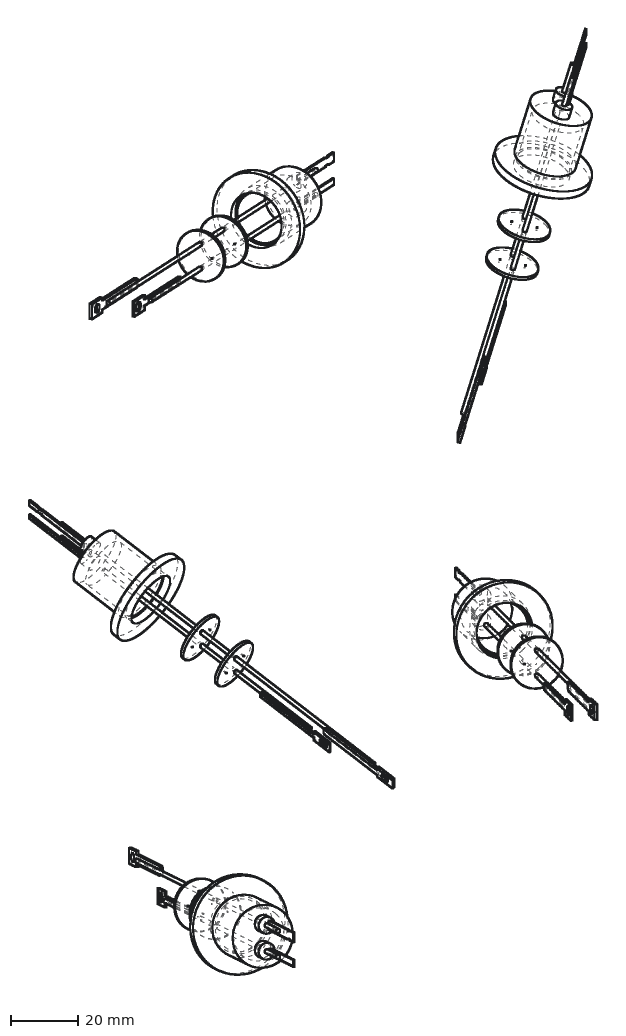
import cadquery as cq


flange_diameter = 29.9
rim_width = 2.6
cone_width = 1.7
body_diameter = 19.0
body_length = 22.4
bore_diameter = 16.0
bore_depth = 18.9
recess_diameter = 17.3
recess_depth = 2.6

conductor_offset = 3.9
rod_diameter = 1.3
tube_diameter = 5.1
tube_length = 3.5
tube_end = body_length + tube_length
overall_length = 145.2
rear_end = 47.6
rod_rear_inset = 11.8
rod_front_overlap = 19.0

strip_inner_x = -0.6
upper_strip_height = 2.9
lower_strip_height = 2.0
upper_front_thickness = 0.9
lower_front_thickness = 0.6
strip_corner_chamfer = 0.6
rear_strip_thickness = 0.5
lower_rear_length = 20.8
notch_inset = 3.3
notch_width = 1.6
notch_depth = 0.3

upper_front_end = rear_end - overall_length
lower_front_end = -72.1
front_strip_length = 27.6
lug_length = 6.2
lug_height = 4.8
upper_hole_diameter = 2.6
upper_hole_inset = 3.2
lower_hole_diameter = 2.9
lower_hole_inset = 2.5

disc_diameter = 16.0
disc_thickness = 1.0
disc_centres = (-19.6, -33.1)
pinhole_diameter = 0.3


def cylinder_along_y(diameter, y_start, y_end, x=0.0, z=0.0):
    plane = cq.Workplane("XZ", origin=(x, y_start, z))
    return plane.circle(diameter / 2).extrude(y_start - y_end)


def flat_bar(y_start, y_end, height, thickness, z):
    """Bar along Y whose +X face lies at strip_inner_x."""
    centre = (strip_inner_x - thickness / 2, (y_start + y_end) / 2, z)
    return cq.Workplane("XY").box(thickness, y_end - y_start, height).translate(centre)


def make_housing():
    """Flange with a conical back and a closed cylindrical body, bored from the front."""
    flange_radius = flange_diameter / 2
    body_radius = body_diameter / 2
    half_profile = [
        (0, 0),
        (flange_radius, 0),
        (flange_radius, rim_width),
        (body_radius, rim_width + cone_width),
        (body_radius, body_length),
        (0, body_length),
    ]
    housing = cq.Workplane("XY").polyline(half_profile).close().revolve(360, (0, 0, 0), (0, 1, 0))
    housing = housing.cut(cylinder_along_y(bore_diameter, 0, bore_depth))
    return housing.cut(cylinder_along_y(recess_diameter, 0, recess_depth))


def make_disc(y_centre):
    """Thin spacer disc with a pinhole on each side, between the rods."""
    y_start = y_centre - disc_thickness / 2
    y_end = y_centre + disc_thickness / 2
    disc = cylinder_along_y(disc_diameter, y_start, y_end)
    for x in (-conductor_offset, conductor_offset):
        disc = disc.cut(cylinder_along_y(pinhole_diameter, y_start, y_end, x=x))
    return disc


def make_rod_and_tube(front_end, z):
    rod_front = front_end + front_strip_length - rod_front_overlap
    rod = cylinder_along_y(rod_diameter, rod_front, rear_end - rod_rear_inset, z=z)
    return rod.union(cylinder_along_y(tube_diameter, body_length, tube_end, z=z))


def add_lug(strip, front_end, thickness, hole_diameter, hole_inset, z):
    """Widen the front end of a strip into a lug with a cross hole."""
    lug = flat_bar(front_end, front_end + lug_length, lug_height, thickness, z)
    hole_plane = cq.Workplane("YZ", origin=(strip_inner_x, front_end + hole_inset, z))
    hole = hole_plane.circle(hole_diameter / 2).extrude(-thickness)
    return strip.union(lug).cut(hole)


def make_upper_front_strip():
    z = conductor_offset
    strip_end = upper_front_end + front_strip_length
    strip = flat_bar(upper_front_end, strip_end, upper_strip_height, upper_front_thickness, z)
    strip = strip.faces(">Y").edges("|X").chamfer(strip_corner_chamfer)
    return add_lug(strip, upper_front_end, upper_front_thickness, upper_hole_diameter, upper_hole_inset, z)


def make_lower_front_strip():
    z = -conductor_offset
    strip_end = lower_front_end + front_strip_length
    strip = flat_bar(lower_front_end, strip_end, lower_strip_height, lower_front_thickness, z)
    return add_lug(strip, lower_front_end, lower_front_thickness, lower_hole_diameter, lower_hole_inset, z)


def make_upper_rear_strip():
    """Rear strip with a notch in its top and bottom edges."""
    strip = flat_bar(tube_end, rear_end, upper_strip_height, rear_strip_thickness, conductor_offset)
    notch_end = rear_end - notch_inset
    for side in (-1, 1):
        edge_z = conductor_offset + side * upper_strip_height / 2
        notch = flat_bar(notch_end - notch_width, notch_end, 2 * notch_depth, rear_strip_thickness, edge_z)
        strip = strip.cut(notch)
    return strip


def make_lower_rear_strip():
    strip_start = rear_end - lower_rear_length
    return flat_bar(strip_start, rear_end, lower_strip_height, rear_strip_thickness, -conductor_offset)


result = make_housing()
result = result.union(make_rod_and_tube(upper_front_end, conductor_offset))
result = result.union(make_rod_and_tube(lower_front_end, -conductor_offset))
for disc_centre in disc_centres:
    result = result.union(make_disc(disc_centre))
result = result.union(make_upper_front_strip())
result = result.union(make_lower_front_strip())
result = result.union(make_upper_rear_strip())
result = result.union(make_lower_rear_strip())